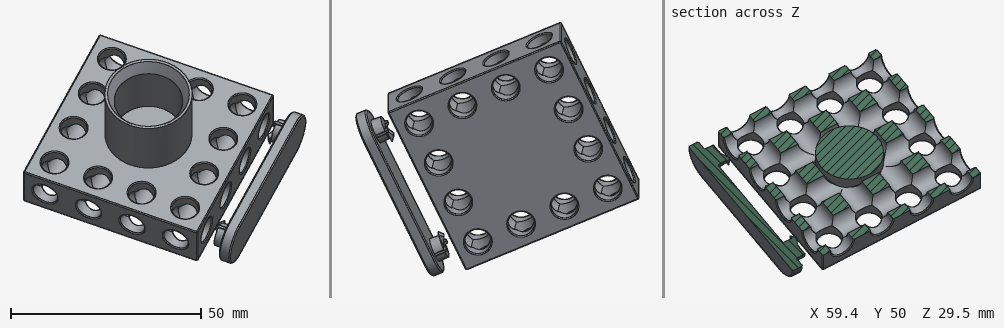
import cadquery as cq

SIDE = 50.0
HOLES_PER_SIDE = 4
PITCH = SIDE / HOLES_PER_SIDE
HEIGHT = PITCH
EDGE_CHAMFER = 0.3
TOTAL_HEIGHT = 29.5
TUBE_DIAMETER = 23.0
BORE_DIAMETER = 18.0
MOUTH_DIAMETER = 21.5
MOUTH_DEPTH = 2.95
HOLE_DIAMETER = 7.0
HOLE_MOUTH_DIAMETER = 7.6
CORE_DIAMETER = BORE_DIAMETER

OVERALL_LENGTH = 59.4
BAR_OUTER_X = OVERALL_LENGTH - SIDE / 2
BAR_THICKNESS = 3.2
BAR_CHAMFER = 0.35
PEG_ROOT_DIAMETER = 6.6
PEG_END_DIAMETER = 6.25
PEG_LENGTH = 2.75
RIB_THICKNESS = 0.7
RIB_OVERHANG = 0.7
RIB_CHAMFER = 0.4
NOTCH_WIDTH = 4.1
HOOK_WIDTH = 2.0
HOOK_HEIGHT = 1.2
HOOK_APEX_Y = 2.75
HOOK_TIP_Y = 4.0
HOOK_TIP_THICKNESS = 0.2

ROWS = [(i - (HOLES_PER_SIDE - 1) / 2) * PITCH for i in range(HOLES_PER_SIDE)]
OUTER_ROW = ROWS[-1]


def chamfered_drill(length):
    """Drill along Z from 0 to length that also chamfers both mouths of its hole."""
    radius = HOLE_DIAMETER / 2
    mouth_radius = HOLE_MOUTH_DIAMETER / 2
    chamfer = mouth_radius - radius
    return (
        cq.Workplane("XZ")
        .moveTo(0, 0)
        .lineTo(mouth_radius, 0)
        .lineTo(radius, chamfer)
        .lineTo(radius, length - chamfer)
        .lineTo(mouth_radius, length)
        .lineTo(0, length)
        .close()
        .revolve(360, (0, 0, 0), (0, 1, 0))
    )


def make_block():
    """Chamfered block drilled along X, Y and Z, with the open tube on its top."""
    block = cq.Workplane("XY").box(SIDE, SIDE, HEIGHT, centered=(True, True, False))
    block = block.edges().chamfer(EDGE_CHAMFER)
    down = chamfered_drill(HEIGHT)
    across = chamfered_drill(SIDE)
    along_x = across.rotate((0, 0, 0), (0, 1, 0), 90).translate((-SIDE / 2, 0, HEIGHT / 2))
    along_y = across.rotate((0, 0, 0), (1, 0, 0), -90).translate((0, -SIDE / 2, HEIGHT / 2))
    for row in ROWS:
        block = block.cut(along_x.translate((0, row, 0)))
        block = block.cut(along_y.translate((row, 0, 0)))
        for column in ROWS:
            if OUTER_ROW in (abs(row), abs(column)):
                block = block.cut(down.translate((row, column, 0)))
    block = block.union(cq.Workplane("XY").circle(CORE_DIAMETER / 2).extrude(HEIGHT))
    tube = (
        cq.Workplane("XY", origin=(0, 0, HEIGHT))
        .circle(TUBE_DIAMETER / 2)
        .circle(BORE_DIAMETER / 2)
        .extrude(TOTAL_HEIGHT - HEIGHT)
    )
    mouth = cq.Workplane("XY").add(
        cq.Solid.makeCone(
            BORE_DIAMETER / 2,
            MOUTH_DIAMETER / 2,
            MOUTH_DEPTH,
            pnt=cq.Vector(0, 0, TOTAL_HEIGHT - MOUTH_DEPTH),
        )
    )
    return block.union(tube.cut(mouth))


def make_peg():
    """Tapered peg with a cross rib and a hook towards +Y, on an axis through Y = 0, Z = 0."""
    peg_end = BAR_OUTER_X - BAR_THICKNESS - PEG_LENGTH
    peg = cq.Workplane("XY").add(
        cq.Solid.makeCone(
            PEG_END_DIAMETER / 2,
            PEG_ROOT_DIAMETER / 2,
            PEG_LENGTH,
            pnt=cq.Vector(peg_end, 0, 0),
            dir=cq.Vector(1, 0, 0),
        )
    )
    rib = (
        cq.Workplane("XY")
        .box(PEG_LENGTH + RIB_OVERHANG, RIB_THICKNESS, HOLE_DIAMETER, centered=(False, True, True))
        .edges("<X and |Y")
        .chamfer(RIB_CHAMFER)
        .translate((peg_end - RIB_OVERHANG, 0, 0))
    )
    notch = (
        cq.Workplane("XZ", origin=(peg_end - RIB_OVERHANG, 0, 0))
        .moveTo(0, -NOTCH_WIDTH / 2)
        .threePointArc((RIB_OVERHANG, 0), (0, NOTCH_WIDTH / 2))
        .close()
        .extrude(RIB_THICKNESS, both=True)
    )
    hook = (
        cq.Workplane("XY", origin=(peg_end, 0, 0))
        .moveTo(0, RIB_THICKNESS / 2)
        .lineTo(-HOOK_HEIGHT, HOOK_APEX_Y)
        .lineTo(-HOOK_TIP_THICKNESS, HOOK_TIP_Y)
        .lineTo(0, HOOK_TIP_Y)
        .close()
        .extrude(HOOK_WIDTH / 2, both=True)
    )
    return peg.union(rib.cut(notch)).union(hook)


def make_clip():
    """Round-ended bar beside the block, with mirrored pegs whose hooks face each other."""
    bar = (
        cq.Workplane("YZ", origin=(BAR_OUTER_X - BAR_THICKNESS, 0, HEIGHT / 2))
        .slot2D(SIDE, HEIGHT)
        .extrude(BAR_THICKNESS)
        .faces("<X or >X")
        .chamfer(BAR_CHAMFER)
    )
    peg = make_peg().translate((0, -OUTER_ROW, HEIGHT / 2))
    return bar.union(peg).union(peg.mirror("XZ"))


block = make_block()
clip = make_clip()
result = cq.Compound.makeCompound([block.val(), clip.val()])